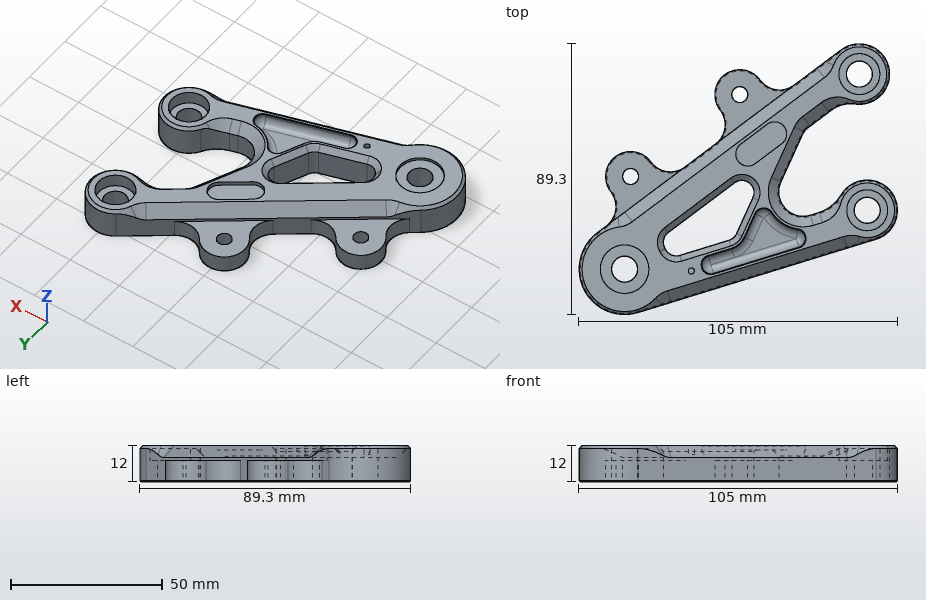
import cadquery as cq
import math

thickness = 12.0
edge_break = 0.4

big_hub = (0.0, 0.0)
arm_hub = (77.4, 64.3)
bar_hub = (79.98, 19.4)
big_hub_radius = 15.0
small_hub_radius = 10.0
hub_bore = 8.5
big_counterbore = 16.0
big_counterbore_depth = 1.0
small_counterbore = 13.5
small_counterbore_depth = 5.0

arm_inner_edge = 1.0
bar_inner_edge = 1.0
strut_jaw_edge = 35.0
strut_angle = math.radians(65.5)

jaw_radius = 8.0
jaw_corner_radius = 5.0
bar_hub_fillet = 13.0
arm_hub_fillet = 10.5

bevel = 4.0
jaw_bevel = 3.5
hub_bevel = 1.0
bevel_fillet = 9.0

window_radius = 4.0
window_bevel = 2.0
window_arm_edge = 1.0
window_bar_edge = 1.0
window_strut_edge = 28.7
window_hub_edge = 15.0

land = 1.0
pocket_radius = 3.0
pocket_floor_radius = 2.95
pocket_depth = 4.0
pocket_start = 27.6
pocket_edge_break = 0.2

lug_radius = 8.25
lug_fillet = 8.0
lug_height = 7.0
lug_hole = 5.2
lug_positions = (19.9, 64.9)
lug_root = 6.0

slot_width = 8.0
slot_start = 55.3
slot_span = 11.0
slot_offset = 6.0
slot_depth = 1.5

pin_hole = 2.0
pin_hole_depth = 3.0
pin_position = (22.0, -0.6)


touching = 1e-4


def distance(a, b):
    return math.hypot(b[0] - a[0], b[1] - a[1])


def bearing(a, b):
    return math.atan2(b[1] - a[1], b[0] - a[0])


def offset_of(point, angle):
    return point[0] * math.cos(angle) + point[1] * math.sin(angle)


def hub_tangent(hub, side):
    """Edge touching the big hub and a small hub, on the left (side = 1) or right (side = -1)."""
    lean = math.acos((big_hub_radius - small_hub_radius) / distance(big_hub, hub))
    normal = bearing(big_hub, hub) + side * lean
    return (normal - side * math.pi / 2, normal)


def place(edge, along, across):
    direction, normal = edge
    x = along * math.cos(direction) + across * math.cos(normal)
    y = along * math.sin(direction) + across * math.sin(normal)
    return (x, y)


def meet(edge_a, across_a, edge_b, across_b):
    """Point lying at the given distances across two edges."""
    start = place(edge_a, 0, across_a)
    along = (across_b - offset_of(start, edge_b[1])) / math.cos(edge_a[0] - edge_b[1])
    return place(edge_a, along, across_a)


def beside(edge, across, center, reach, side):
    """Point at a distance across an edge and 'reach' from center, ahead (1) or behind (-1) of it."""
    rise = across - offset_of(center, edge[1])
    along = offset_of(center, edge[0]) + side * math.sqrt(reach ** 2 - rise ** 2)
    return place(edge, along, across)


def belt(circles, z, grow=0.0):
    """Closed outline run counterclockwise round (center, radius) circles and their common tangents.

    A negative radius is passed clockwise (a hollow curve), zero is a sharp corner, and 'grow'
    moves the whole outline outward.
    """
    count = len(circles)
    headings = []
    for i in range(count):
        (c1, r1), (c2, r2) = circles[i], circles[(i + 1) % count]
        lean = max(-1.0, min(1.0, (r1 - r2) / distance(c1, c2)))
        headings.append(bearing(c1, c2) + math.asin(lean))

    def on_circle(i, angle):
        center, radius = circles[i]
        reach = radius + grow
        return cq.Vector(center[0] + reach * math.cos(angle), center[1] + reach * math.sin(angle), z)

    edges = []
    previous_end = on_circle(-1, headings[-1] - math.pi / 2)
    for i in range(count):
        start_angle = headings[i - 1] - math.pi / 2
        end_angle = headings[i] - math.pi / 2
        start = on_circle(i, start_angle)
        end = on_circle(i, end_angle)
        if (start - previous_end).Length > touching:
            edges.append(cq.Edge.makeLine(previous_end, start))
        else:
            start = previous_end
        if circles[i][1] != 0:
            turn = (end_angle - start_angle) % (2 * math.pi)
            if circles[i][1] < 0:
                turn -= 2 * math.pi
            middle = on_circle(i, start_angle + turn / 2)
            edges.append(cq.Edge.makeThreePointArc(start, middle, end))
        previous_end = end
    return cq.Wire.assembleEdges(edges)


def prism(circles, z, height):
    return cq.Workplane(cq.Solid.extrudeLinear(belt(circles, z), [], cq.Vector(0, 0, height)))


def bevelled(circles, z, height, grow_bottom, grow_top):
    """Solid with sloping sides between two offsets of the same outline."""
    bottom = belt(circles, z, grow_bottom)
    top = belt(circles, z + height, grow_top)
    return cq.Workplane(cq.Solid.makeLoft([bottom, top], True))


def cylinder(at, diameter, top, depth):
    return cq.Workplane("XY", origin=(at[0], at[1], top - depth)).circle(diameter / 2).extrude(depth)


arm = hub_tangent(arm_hub, 1)
bar = hub_tangent(bar_hub, -1)
strut = (strut_angle, strut_angle - math.pi / 2)
jaw_center = meet(bar, bar_inner_edge - jaw_radius, strut, strut_jaw_edge + jaw_radius)
jaw_corner = meet(arm, arm_inner_edge - jaw_corner_radius, strut, strut_jaw_edge + jaw_corner_radius)
window_bar_corner = meet(bar, window_bar_edge - window_radius, strut, window_strut_edge - window_radius)


def plate_outline():
    bar_reach = small_hub_radius + bar_hub_fillet
    arm_reach = small_hub_radius + arm_hub_fillet
    bar_fillet = beside(bar, bar_inner_edge - bar_hub_fillet, bar_hub, bar_reach, -1)
    arm_fillet = beside(arm, arm_inner_edge - arm_hub_fillet, arm_hub, arm_reach, -1)
    return [
        (big_hub, big_hub_radius),
        (bar_hub, small_hub_radius),
        (bar_fillet, -bar_hub_fillet),
        (jaw_center, -jaw_radius),
        (jaw_corner, -jaw_corner_radius),
        (arm_fillet, -arm_hub_fillet),
        (arm_hub, small_hub_radius),
    ]


def top_face_outline():
    """Flat top of the plate inside the bevel."""
    big = big_hub_radius - hub_bevel
    small = small_hub_radius - hub_bevel
    outer = big_hub_radius - bevel + bevel_fillet
    arm_inner = arm_inner_edge + bevel - bevel_fillet
    bar_inner = bar_inner_edge + jaw_bevel - bevel_fillet
    corner = meet(arm, arm_inner, strut, strut_jaw_edge - jaw_bevel + bevel_fillet)
    big_reach = big + bevel_fillet
    small_reach = small + bevel_fillet
    return [
        (big_hub, big),
        (beside(bar, outer, big_hub, big_reach, 1), -bevel_fillet),
        (beside(bar, outer, bar_hub, small_reach, -1), -bevel_fillet),
        (bar_hub, small),
        (beside(bar, bar_inner, bar_hub, small_reach, -1), -bevel_fillet),
        (jaw_center, -jaw_radius - jaw_bevel),
        (corner, -bevel_fillet),
        (beside(arm, arm_inner, arm_hub, small_reach, -1), -bevel_fillet),
        (arm_hub, small),
        (beside(arm, outer, arm_hub, small_reach, -1), -bevel_fillet),
        (beside(arm, outer, big_hub, big_reach, 1), -bevel_fillet),
    ]


def window_outline():
    """Through window between arm, bar and strut, its narrow end following the big hub."""
    arm_offset = window_arm_edge - window_radius
    bar_offset = window_bar_edge - window_radius
    reach = window_hub_edge + window_radius
    return [
        (beside(arm, arm_offset, big_hub, reach, 1), window_radius),
        (big_hub, -window_hub_edge),
        (beside(bar, bar_offset, big_hub, reach, 1), window_radius),
        (window_bar_corner, window_radius),
        (meet(arm, arm_offset, strut, window_strut_edge - window_radius), window_radius),
    ]


def pocket_outline():
    """Pocket that keeps an even land beside the window, the jaw and the outer bevel."""
    jaw_wall = jaw_radius + jaw_bevel + land
    window_wall = window_radius + window_bevel + land
    lower_center = big_hub_radius - bevel - land - pocket_radius
    strut_center = window_strut_edge + window_bevel + land + pocket_radius
    reach = jaw_wall + pocket_radius
    return [
        (place(bar, pocket_start, lower_center), pocket_radius),
        (beside(bar, lower_center, jaw_center, reach, -1), pocket_radius),
        (jaw_center, -jaw_wall),
        (beside(strut, strut_center, jaw_center, reach, -1), pocket_radius),
        (window_bar_corner, -window_wall),
    ]


def lug_outline(along):
    center = place(arm, along, big_hub_radius + lug_radius)
    spread = math.sqrt((lug_radius + lug_fillet) ** 2 - (lug_radius - lug_fillet) ** 2)
    outer = big_hub_radius + lug_fillet
    root = big_hub_radius - lug_root
    return [
        (center, lug_radius),
        (place(arm, along - spread, outer), -lug_fillet),
        (place(arm, along - spread, big_hub_radius), 0),
        (place(arm, along - spread, root), 0),
        (place(arm, along + spread, root), 0),
        (place(arm, along + spread, big_hub_radius), 0),
        (place(arm, along + spread, outer), -lug_fillet),
    ]


def make_plate():
    """Straight-sided plate whose upper part is trimmed by the bevel round the top face."""
    shoulder = thickness - bevel
    outline = plate_outline()
    cap = bevelled(top_face_outline(), shoulder, bevel, bevel, 0)
    cap = cap.intersect(prism(outline, shoulder, bevel))
    return prism(outline, 0, shoulder).union(cap)


def add_lugs(body):
    for along in lug_positions:
        body = body.union(prism(lug_outline(along), 0, lug_height))
    return body


def drill_lugs(body):
    for along in lug_positions:
        center = place(arm, along, big_hub_radius + lug_radius)
        body = body.cut(cylinder(center, lug_hole, lug_height, lug_height))
    return body


def bore_hubs(body):
    seats = [
        (big_hub, big_counterbore, big_counterbore_depth),
        (arm_hub, small_counterbore, small_counterbore_depth),
        (bar_hub, small_counterbore, small_counterbore_depth),
    ]
    for center, seat, seat_depth in seats:
        body = body.cut(cylinder(center, hub_bore, thickness, thickness))
        body = body.cut(cylinder(center, seat, thickness, seat_depth))
    return body


def cut_window(body):
    outline = window_outline()
    body = body.cut(prism(outline, 0, thickness))
    return body.cut(bevelled(outline, thickness - window_bevel, window_bevel, 0, window_bevel))


def cut_pocket(body):
    outline = pocket_outline()
    recess = prism(outline, thickness - pocket_depth, pocket_depth)
    recess = recess.faces("<Z").edges().fillet(pocket_floor_radius)
    rim = bevelled(outline, thickness - pocket_edge_break, pocket_edge_break, 0, pocket_edge_break)
    return body.cut(recess).cut(rim)


def cut_slot(body):
    ends = [slot_start + slot_span, slot_start]
    outline = [(place(arm, along, slot_offset), slot_width / 2) for along in ends]
    return body.cut(prism(outline, thickness - slot_depth, slot_depth))


body = add_lugs(make_plate()).clean()
body = body.faces("<Z").edges().chamfer(edge_break)
body = drill_lugs(bore_hubs(body))
body = cut_window(body)
body = cut_pocket(body)
body = cut_slot(body)
result = body.cut(cylinder(pin_position, pin_hole, thickness, pin_hole_depth))